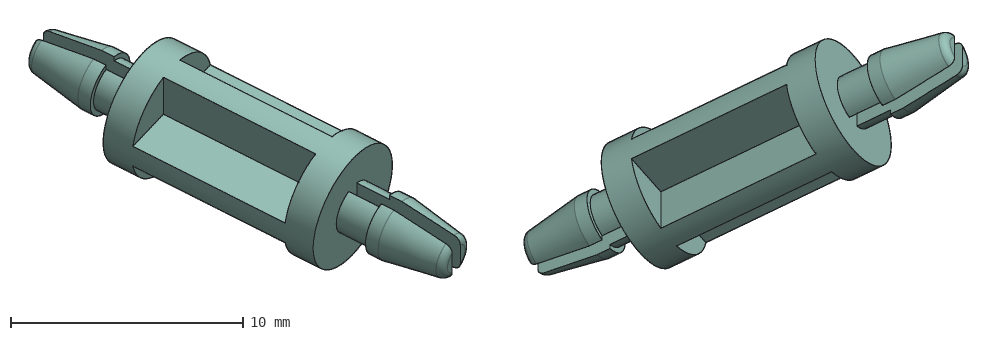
import cadquery as cq

total_length = 21.82
body_length = 11.0
body_diameter = 6.0

pocket_length = 7.96
web_thickness = 1.25

neck_diameter = 2.5
barb_diameter = 3.01
barb_land_length = 0.65
neck_length = 1.7
tip_diameter = 2.0
tip_rounding = 0.4
slot_width = 0.61

half_body = body_length / 2
half_length = total_length / 2


def make_body():
    """Cylinder with one square-cornered pocket in each quadrant."""
    body = cq.Workplane("YZ").circle(body_diameter / 2).extrude(half_body, both=True)
    pocket_size = body_diameter / 2
    pocket_center = web_thickness / 2 + pocket_size / 2
    for y_side in (-1, 1):
        for z_side in (-1, 1):
            pocket = cq.Workplane("XY").box(pocket_length, pocket_size, pocket_size)
            body = body.cut(pocket.translate((0, y_side * pocket_center, z_side * pocket_center)))
    return body


def make_pin():
    """Slotted pin with a barbed, tapered and rounded head on the +X end."""
    barb_start = half_body + neck_length
    taper_start = barb_start + barb_land_length
    pin = (
        cq.Workplane("XY")
        .moveTo(half_body, 0)
        .lineTo(half_body, neck_diameter / 2)
        .lineTo(barb_start, neck_diameter / 2)
        .lineTo(barb_start, barb_diameter / 2)
        .lineTo(taper_start, barb_diameter / 2)
        .lineTo(half_length, tip_diameter / 2)
        .lineTo(half_length, 0)
        .close()
        .revolve(360, (0, 0, 0), (1, 0, 0))
    )
    pin = pin.faces(">X").edges().fillet(tip_rounding)
    slot = (
        cq.Workplane("XY")
        .box(half_length - half_body, slot_width, barb_diameter)
        .translate(((half_body + half_length) / 2, 0, 0))
    )
    return pin.cut(slot)


pin = make_pin()
result = make_body().union(pin).union(pin.mirror("YZ"))